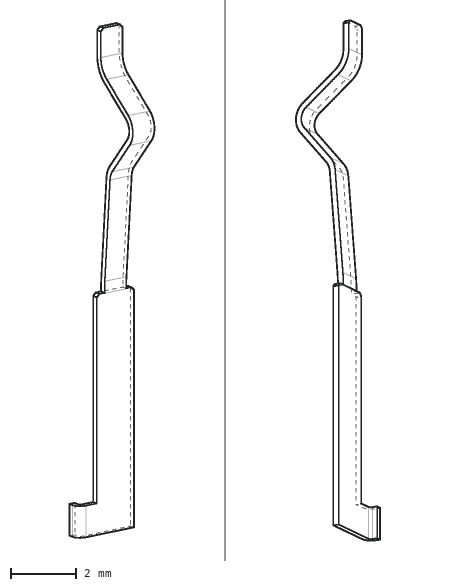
import cadquery as cq
import math

total_height = 16.05
thickness = 0.2
mid_plane = thickness / 2

plate_width = 1.4
plate_top = 7.67
corner_chamfer = 0.1

finger_width = 0.82
tip_x = -mid_plane
kink_x, kink_z = 0.4, 11.55
apex_x, apex_z = 1.81, 13.21
root_z = 7.55
root_bend_z = 7.86
tip_bend_z = 14.7

tab_height = 1.01
tab_reach_x = 0.25
tab_reach_y = 0.7
tab_inner_radius = 0.1

finger_path = [
    (mid_plane, root_z),
    (mid_plane, root_bend_z),
    (kink_x, kink_z),
    (apex_x, apex_z),
    (tip_x, tip_bend_z),
    (tip_x, total_height),
]
bend_radii = [4.82, 0.61, 0.55, 0.88]


def direction(start, end):
    length = math.dist(start, end)
    return (end[0] - start[0]) / length, (end[1] - start[1]) / length


def left_of(point, heading, distance):
    return point[0] - distance * heading[1], point[1] + distance * heading[0]


def along(point, heading, distance):
    return point[0] + distance * heading[0], point[1] + distance * heading[1]


def trace_left_side(sketch, path, radii):
    """Draw the left side of the strip that follows path, with an arc at every bend."""
    offset = mid_plane
    for before, corner, after, radius in zip(path, path[1:], path[2:], radii):
        heading_in = direction(before, corner)
        heading_out = direction(corner, after)
        turn = (
            math.atan2(heading_out[1], heading_out[0])
            - math.atan2(heading_in[1], heading_in[0])
        )
        setback = radius * math.tan(abs(turn) / 2)
        arc_start = left_of(along(corner, heading_in, -setback), heading_in, offset)
        arc_end = left_of(along(corner, heading_out, setback), heading_out, offset)
        side = math.copysign(1, turn)
        sketch = sketch.lineTo(*arc_start).radiusArc(arc_end, -side * (radius - side * offset))
    return sketch.lineTo(*left_of(path[-1], heading_out, offset))


def make_plate():
    return (
        cq.Workplane("XY")
        .box(thickness, plate_width, plate_top, centered=False)
        .edges("|X and >Z")
        .chamfer(corner_chamfer)
    )


def make_finger():
    front_y = (plate_width - finger_width) / 2
    sketch = cq.Workplane("XZ", origin=(0, front_y, 0)).moveTo(0, root_z)
    sketch = trace_left_side(sketch, finger_path, bend_radii)
    sketch = sketch.lineTo(tip_x + mid_plane, total_height)
    sketch = trace_left_side(sketch, finger_path[::-1], bend_radii[::-1])
    return sketch.close().extrude(-finger_width).edges("|X and >Z").chamfer(corner_chamfer)


def make_tab():
    outer_radius = tab_inner_radius + thickness
    inner_y = thickness - tab_reach_y
    return (
        cq.Workplane("XY")
        .moveTo(thickness, 0)
        .lineTo(thickness, -tab_reach_y + outer_radius)
        .radiusArc((thickness - outer_radius, -tab_reach_y), outer_radius)
        .lineTo(-tab_reach_x, -tab_reach_y)
        .lineTo(-tab_reach_x, inner_y)
        .lineTo(-tab_inner_radius, inner_y)
        .radiusArc((0, inner_y + tab_inner_radius), -tab_inner_radius)
        .lineTo(0, 0)
        .close()
        .extrude(tab_height)
    )


result = make_plate().union(make_finger()).union(make_tab())